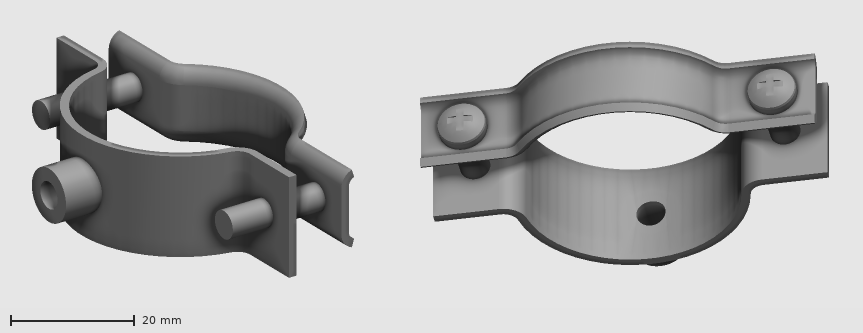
import cadquery as cq
import math

length = 65.0
sheet = 1.5
ring_inner_radius = 18.0

band_height = 18.0
band_ear_face_y = 0.0
band_bend_radius = 4.0
boss_diameter = 9.55
boss_hole_diameter = 4.8
boss_end_y = -26.05

channel_ear_face_y = 8.9
channel_bend_radius = 5.0
channel_web_half = 4.1
curl_inner_radius = 1.5
curl_outer_radius = curl_inner_radius + sheet
curl_angle = math.radians(72.2)

screw_offset = 25.55
shank_diameter = 5.0
shank_end_y = -9.5
head_diameter = 8.0
head_side_height = 1.4
head_taper_height = 0.4
dome_diameter = 7.75
head_height = 3.2
slot_width = 1.25
slot_depth = 0.4

half_length = length / 2
screw_places = (-screw_offset, screw_offset)
head_seat_y = channel_ear_face_y + sheet
head_top_y = head_seat_y + head_height


def along_y(radius, start_y, end_y, x=0.0):
    """Cylinder of the given radius, parallel to Y."""
    return cq.Workplane("XY").add(
        cq.Solid.makeCylinder(radius, end_y - start_y, cq.Vector(x, start_y, 0), cq.Vector(0, 1, 0))
    )


def bend_points(ear_y, bend_radius, side):
    """Points of the right-hand bend of a strap path that runs along the bore face.

    The bend is tangent to the ear (at ear_y) and to the bore circle. Its centre lies behind the
    ear face: side is -1 if that is towards -Y, +1 if towards +Y.
    Returns the ear end, the middle and the ring end of the bend.
    """
    centre_y = ear_y + side * bend_radius
    centre_distance = ring_inner_radius + bend_radius
    centre_x = math.sqrt(centre_distance**2 - centre_y**2)
    ring_direction = math.atan2(-centre_y, -centre_x)
    ear_direction = math.atan2(-side, 0)
    turn = math.remainder(ring_direction - ear_direction, 2 * math.pi)

    def on_bend(share):
        angle = ear_direction + share * turn
        return (centre_x + bend_radius * math.cos(angle), centre_y + bend_radius * math.sin(angle))

    return on_bend(0), on_bend(0.5), on_bend(1)


def mirrored(point):
    return (-point[0], point[1])


def strap_path(ear_y, bend_radius, side):
    """Path of a strap's bore face in the XY plane, from the left end to the right end."""
    ear_end, bend_middle, ring_end = bend_points(ear_y, bend_radius, side)
    return (
        cq.Workplane("XY")
        .moveTo(-half_length, ear_y)
        .lineTo(*mirrored(ear_end))
        .threePointArc(mirrored(bend_middle), mirrored(ring_end))
        .threePointArc((0, side * ring_inner_radius), ring_end)
        .threePointArc(bend_middle, ear_end)
        .lineTo(half_length, ear_y)
    )


def cut_screw_holes(strap, ear_start_y):
    """Cut a screw hole through each ear, whose sheet starts at ear_start_y."""
    for x in screw_places:
        strap = strap.cut(along_y(shank_diameter / 2, ear_start_y, ear_start_y + sheet, x))
    return strap


def make_lower_strap():
    band = (
        cq.Workplane("YZ", origin=(-half_length, band_ear_face_y - sheet / 2, 0))
        .rect(sheet, band_height)
        .sweep(strap_path(band_ear_face_y, band_bend_radius, -1))
    )
    root_radius = ring_inner_radius + sheet / 2
    root = cq.Workplane("XY").circle(root_radius).extrude(band_height / 2, both=True)
    boss = along_y(boss_diameter / 2, boss_end_y, 0).cut(root)
    boss_hole = along_y(boss_hole_diameter / 2, boss_end_y, 0)
    strap = band.union(boss).cut(boss_hole)
    return cut_screw_holes(strap, band_ear_face_y - sheet)


def channel_section():
    """Closed section of the channel: a flat web with an edge curled back on each side."""

    def curl_point(radius, angle, side):
        return (
            channel_ear_face_y + curl_outer_radius - radius * math.cos(angle),
            side * (channel_web_half + radius * math.sin(angle)),
        )

    half_angle = curl_angle / 2
    return (
        cq.Workplane("YZ", origin=(-half_length, 0, 0))
        .moveTo(*curl_point(curl_outer_radius, 0, -1))
        .lineTo(*curl_point(curl_outer_radius, 0, 1))
        .threePointArc(
            curl_point(curl_outer_radius, half_angle, 1), curl_point(curl_outer_radius, curl_angle, 1)
        )
        .lineTo(*curl_point(curl_inner_radius, curl_angle, 1))
        .threePointArc(curl_point(curl_inner_radius, half_angle, 1), curl_point(curl_inner_radius, 0, 1))
        .lineTo(*curl_point(curl_inner_radius, 0, -1))
        .threePointArc(
            curl_point(curl_inner_radius, half_angle, -1), curl_point(curl_inner_radius, curl_angle, -1)
        )
        .lineTo(*curl_point(curl_outer_radius, curl_angle, -1))
        .threePointArc(
            curl_point(curl_outer_radius, half_angle, -1), curl_point(curl_outer_radius, 0, -1)
        )
        .close()
    )


def make_upper_strap():
    strap = channel_section().sweep(strap_path(channel_ear_face_y, channel_bend_radius, 1))
    return cut_screw_holes(strap, channel_ear_face_y)


def make_screw(x):
    """Screw with a domed, cross-slotted head, its axis parallel to Y."""
    head_radius = head_diameter / 2
    side_top_y = head_seat_y + head_side_height
    dome_edge_radius = dome_diameter / 2
    dome_edge_y = side_top_y + head_taper_height
    dome_height = head_top_y - dome_edge_y
    dome_radius = (dome_edge_radius**2 + dome_height**2) / (2 * dome_height)
    dome_half_angle = math.asin(dome_edge_radius / dome_radius) / 2
    dome_middle = (
        dome_radius * math.sin(dome_half_angle),
        head_top_y - dome_radius * (1 - math.cos(dome_half_angle)),
    )
    body = (
        cq.Workplane("XY")
        .moveTo(0, shank_end_y)
        .lineTo(shank_diameter / 2, shank_end_y)
        .lineTo(shank_diameter / 2, head_seat_y)
        .lineTo(head_radius, head_seat_y)
        .lineTo(head_radius, side_top_y)
        .lineTo(dome_edge_radius, dome_edge_y)
        .threePointArc(dome_middle, (0, head_top_y))
        .close()
        .revolve(360, (0, 0, 0), (0, 1, 0))
    )
    slot_middle_y = head_top_y - slot_depth / 2
    for size_x, size_z in ((slot_width, head_diameter), (head_diameter, slot_width)):
        slot = cq.Workplane("XY").box(size_x, slot_depth, size_z).translate((0, slot_middle_y, 0))
        body = body.cut(slot)
    return body.translate((x, 0, 0))


lower_strap = make_lower_strap()
upper_strap = make_upper_strap()
screws = [make_screw(x) for x in screw_places]

result = cq.Compound.makeCompound(
    [lower_strap.val(), upper_strap.val(), *[screw.val() for screw in screws]]
)